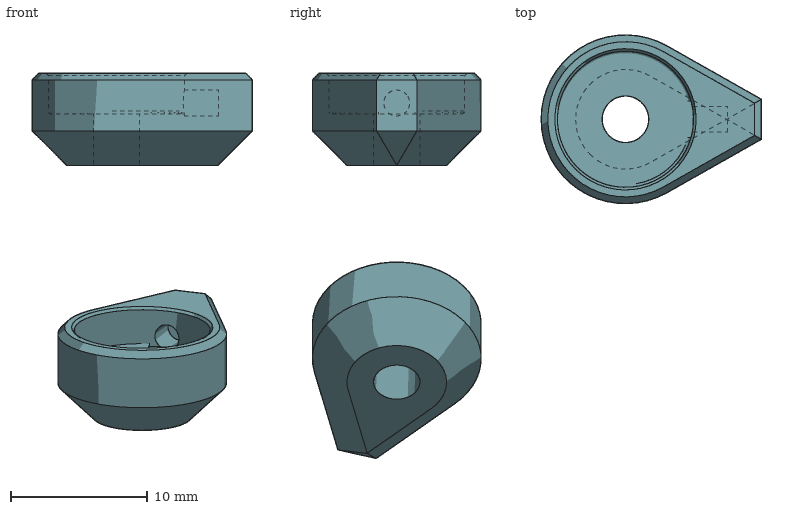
import cadquery as cq
import math

length = 16.2
head_radius = 6.2
tip_width = 2.95
height = 6.8
top_chamfer = 0.5
bottom_taper = 2.55

pocket_diameter = 10.0
pocket_depth = 3.0
pocket_edge = 0.2
bore_diameter = 3.4

side_hole_diameter = 1.9
side_hole_drop = 2.2
sharp_corner_width = 2.69
side_hole_end = 7.5

tip_x = length - head_radius
tip_half = tip_width / 2
tangent_angle = math.atan2(tip_half, tip_x) + math.acos(head_radius / math.hypot(tip_x, tip_half))
tangent_x = head_radius * math.cos(tangent_angle)
tangent_y = head_radius * math.sin(tangent_angle)


def teardrop(base_z):
    return (
        cq.Workplane("XY", origin=(0, 0, base_z))
        .moveTo(tip_x, -tip_half)
        .lineTo(tip_x, tip_half)
        .lineTo(tangent_x, tangent_y)
        .threePointArc((-head_radius, 0), (tangent_x, -tangent_y))
        .close()
    )


def make_body():
    upper = teardrop(bottom_taper).extrude(height - bottom_taper)
    upper = upper.faces(">Z").chamfer(top_chamfer)
    lower = teardrop(bottom_taper).extrude(-bottom_taper, taper=45)
    return upper.union(lower)


def pocket_cylinder(base_z):
    return cq.Workplane("XY", origin=(0, 0, base_z)).circle(pocket_diameter / 2).extrude(height - base_z)


def make_pocket():
    floor_z = height - pocket_depth
    pocket = pocket_cylinder(floor_z).faces("<Z").edges().fillet(pocket_edge)
    rim = (
        cq.Workplane("XY", origin=(0, 0, height - pocket_edge))
        .circle(pocket_diameter / 2)
        .workplane(offset=pocket_edge)
        .circle(pocket_diameter / 2 + pocket_edge)
        .loft()
    )
    sharp_corner = pocket_cylinder(floor_z).intersect(
        cq.Workplane("XY").box(length, sharp_corner_width, height, centered=(False, True, False))
    )
    return pocket.union(rim).union(sharp_corner)


def make_side_hole():
    hole = (
        cq.Workplane("YZ", origin=(0, 0, height - side_hole_drop))
        .circle(side_hole_diameter / 2)
        .extrude(side_hole_end)
    )
    return hole.cut(pocket_cylinder(0))


bore = cq.Workplane("XY").circle(bore_diameter / 2).extrude(height)

result = make_body().cut(make_pocket()).cut(bore).cut(make_side_hole())